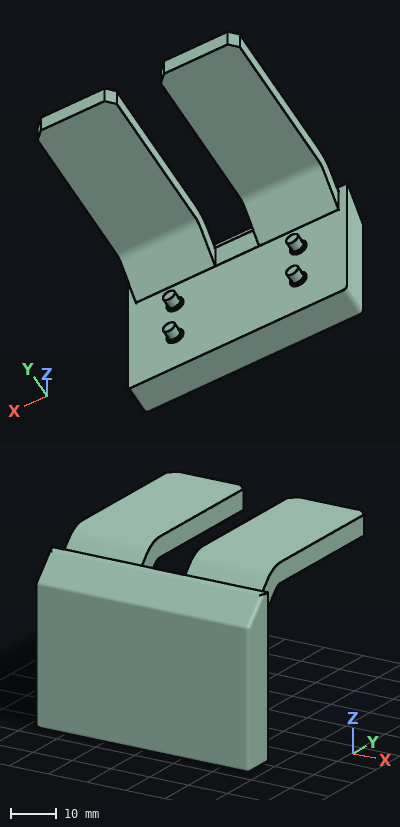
import cadquery as cq
import math

pad_width = 55.3
pad_depth = 8.0
pad_height = 40.0
top_chamfer = 6.0
edge_radius = 1.0

overall_depth = 54.05
arm_rise = 4.0
arm_width = 20.0
arm_gap = 11.05
arm_thickness = 5.0
bend_start = 5.55
bend_angle = 45.0
inner_bend_radius = 3.0
tip_chamfer = 2.0
crossbar_depth = 2.0

pin_diameter = 3.0
pin_length = 3.0
collar_diameter = 4.0
collar_length = 0.5
lower_pin_z = 11.6
pin_spacing = 12.0

arm_top = pad_height + arm_rise
arm_bottom = arm_top - arm_thickness
arm_tip = overall_depth - pad_depth
arm_offset = (arm_gap + arm_width) / 2
arm_centers = (-arm_offset, arm_offset)
outer_bend_radius = inner_bend_radius + arm_thickness
slope = math.tan(math.radians(bend_angle))
inner_bend_start = bend_start + arm_thickness * math.tan(math.radians(bend_angle / 2))
foot_top = arm_top - bend_start * slope
foot_bottom = arm_bottom - inner_bend_start * slope
crossbar_width = arm_gap + 2 * arm_width


def make_pad_block():
    """Block with a sloping top front and rounded edges around the front, slope and bottom."""
    profile = [
        (0, 0),
        (0, pad_height),
        (top_chamfer - pad_depth, pad_height),
        (-pad_depth, pad_height - top_chamfer),
        (-pad_depth, 0),
    ]
    block = cq.Workplane("YZ").polyline(profile).close().extrude(pad_width / 2, both=True)
    slope_middle = (0, top_chamfer / 2 - pad_depth, pad_height - top_chamfer / 2)
    slope_face = block.faces(cq.selectors.NearestToPointSelector(slope_middle))
    bottom_side_edges = block.faces("<Z").edges("|Y")
    rounded = block.faces("<Y").edges().add(slope_face.edges()).add(bottom_side_edges)
    rounded_edges = list(set(rounded.vals()))
    return block.newObject(rounded_edges).fillet(edge_radius)


def make_crossbar():
    """Bar joining the arms, flush with the back face of the pad."""
    crossbar_height = foot_top - foot_bottom
    bar = cq.Workplane("XY").box(
        crossbar_width, crossbar_depth, crossbar_height, centered=(True, False, False)
    )
    return bar.translate((0, -crossbar_depth, foot_bottom))


def make_arm(center_x):
    """Flat arm with a clipped tip that bends down to the back face of the pad."""
    profile = [
        (0, foot_bottom),
        (0, foot_top),
        (bend_start, arm_top),
        (arm_tip, arm_top),
        (arm_tip, arm_bottom),
        (inner_bend_start, arm_bottom),
    ]
    arm = cq.Workplane("YZ").polyline(profile).close().extrude(arm_width / 2, both=True)
    outer_bend = cq.selectors.NearestToPointSelector((0, bend_start, arm_top))
    arm = arm.edges(outer_bend).fillet(outer_bend_radius)
    inner_bend = cq.selectors.NearestToPointSelector((0, inner_bend_start, arm_bottom))
    arm = arm.edges(inner_bend).fillet(inner_bend_radius)
    arm = arm.faces(">Y").edges("|Z").chamfer(tip_chamfer)
    return arm.translate((center_x, 0, 0))


def make_pin(center_x, center_z):
    """Round pin with a low collar, pointing backward from the back face."""
    base = cq.Workplane("XZ", origin=(center_x, 0, center_z))
    collar = base.circle(collar_diameter / 2).extrude(-collar_length)
    shank = base.circle(pin_diameter / 2).extrude(-pin_length)
    return collar.union(shank)


def make_bracket():
    """Both arms and their crossbar as one solid."""
    bracket = make_crossbar()
    for center_x in arm_centers:
        bracket = bracket.union(make_arm(center_x))
    return bracket


def make_pad():
    """Pad with a recess for the crossbar and its four pins."""
    pad = make_pad_block().cut(make_crossbar())
    for center_x in arm_centers:
        for center_z in (lower_pin_z, lower_pin_z + pin_spacing):
            pad = pad.union(make_pin(center_x, center_z))
    return pad


pad = make_pad()
bracket = make_bracket()
result = cq.Compound.makeCompound([pad.solids().val(), bracket.solids().val()])